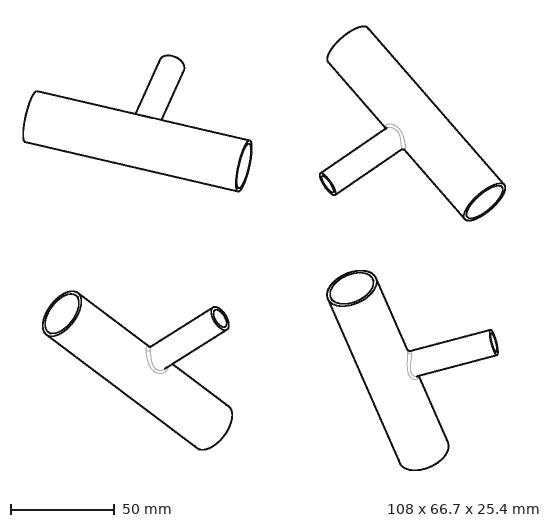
import cadquery as cq

run_length = 108.0
run_outer_diameter = 25.4
run_inner_diameter = 22.1

overall_depth = 66.7
branch_outer_diameter = 12.7
branch_inner_diameter = 9.4
branch_reach = overall_depth - run_outer_diameter / 2

blend_radius = 1.5


def run_cylinder(diameter):
    """Cylinder along X, centred on the origin."""
    return cq.Workplane("YZ").circle(diameter / 2).extrude(run_length / 2, both=True)


def branch_cylinder(diameter):
    """Cylinder from the main axis to the open end of the branch."""
    return cq.Workplane("XZ").circle(diameter / 2).extrude(-branch_reach)


outer_body = run_cylinder(run_outer_diameter).union(branch_cylinder(branch_outer_diameter))
junction_region = cq.selectors.BoxSelector(
    (-branch_outer_diameter, 0, -branch_outer_diameter),
    (branch_outer_diameter, run_outer_diameter / 2, branch_outer_diameter),
)
outer_body = outer_body.edges(junction_region).fillet(blend_radius)

bores = run_cylinder(run_inner_diameter).union(branch_cylinder(branch_inner_diameter))

result = outer_body.cut(bores)